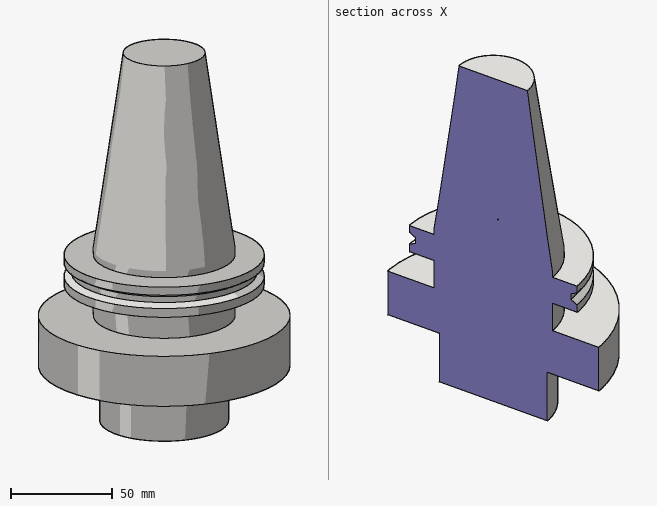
import cadquery as cq

pilot_diameter = 63.5
body_diameter = 123.9
shank_diameter = 69.8
flange_diameter = 98.5
groove_diameter = 91.4
taper_tip_diameter = 40.3

body_bottom = 28.7
body_top = 54.7
flange_bottom = 70.5
flange_top = 86.2
taper_start = 89.5
total_height = 191.1

groove_center = 78.5
groove_floor_width = 3.0
groove_depth = (flange_diameter - groove_diameter) / 2
groove_flank_rise = 2.0
groove_mouth_width = groove_floor_width + 2 * groove_flank_rise


def cylinder(diameter, bottom, top):
    return cq.Workplane("XY").workplane(offset=bottom).circle(diameter / 2).extrude(top - bottom)


def taper():
    """Cone from the shank diameter up to the flat tip."""
    return (
        cq.Workplane("XZ")
        .moveTo(0, taper_start)
        .lineTo(shank_diameter / 2, taper_start)
        .lineTo(taper_tip_diameter / 2, total_height)
        .lineTo(0, total_height)
        .close()
        .revolve(360, (0, 0, 0), (0, 1, 0))
    )


def gripper_groove():
    """Ring with a trapezoid section, cut from the flange rim."""
    rim = flange_diameter / 2
    floor = rim - groove_depth
    return (
        cq.Workplane("XZ")
        .moveTo(rim, groove_center - groove_mouth_width / 2)
        .lineTo(floor, groove_center - groove_floor_width / 2)
        .lineTo(floor, groove_center + groove_floor_width / 2)
        .lineTo(rim, groove_center + groove_mouth_width / 2)
        .close()
        .revolve(360, (0, 0, 0), (0, 1, 0))
    )


pilot = cylinder(pilot_diameter, 0, body_bottom)
body = cylinder(body_diameter, body_bottom, body_top)
shank = cylinder(shank_diameter, body_top, taper_start)
flange = cylinder(flange_diameter, flange_bottom, flange_top).cut(gripper_groove())

result = pilot.union(body).union(shank).union(flange).union(taper())